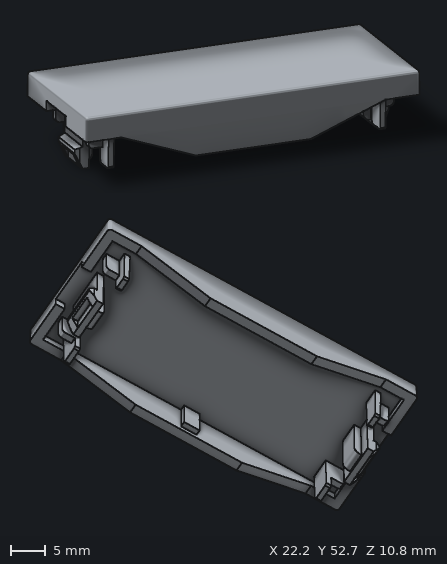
import cadquery as cq

cap_width = 22.15
cap_length = 52.7
cap_height = 3.8
edge_radius = 0.55
wall_draft = 0.8
wall = 1.55
cavity_height = 1.6

skirt_depth = 4.45
skirt_top_half = 20.8
skirt_bottom_half = 9.05

part_bottom = -7.0
arm_width = 6.55
arm_inner_y = 22.4
arm_draft = 0.15
arm_outer_y = 23.55
hook_tip_y = 24.7
hook_root_z = -3.6
hook_tip_top_z = -3.95
hook_tip_bottom_z = -4.6
hook_side_start_y = 24.05
hook_side_inset = 0.25
hook_pocket_width = 4.0
hook_pocket_top_z = -5.0
notch_width = 7.15

buttress_width = 3.15
buttress_inner_y = 21.3
buttress_bottom_z = -6.45
buttress_radius = 1.05

leg_inner_x = 5.6
left_leg_outer_x = 7.9
right_leg_outer_x = 8.7
leg_draft = 0.1
leg_bottom_z = -5.5
leg_corner = 0.3
leg_inner_y = 20.85
leg_outer_y = 21.8

block_width = 1.0
block_outer_y = 24.05
block_bottom_z = -2.8
block_radius = 0.7

rib_inner_x = 8.7
rib_length = 2.65
rib_depth = 3.5


def box_between(x0, x1, y0, y1, z0, z1):
    """Box given by its two limits along each axis."""
    return cq.Workplane("XY").box(x1 - x0, y1 - y0, z1 - z0, centered=False).translate((x0, y0, z0))


def extrude_along_x(points, x0, x1):
    """Closed (y, z) outline extruded from x0 to x1."""
    return cq.Workplane("YZ", origin=(x0, 0, 0)).polyline(points).close().extrude(x1 - x0)


def make_cap():
    """Drafted and rounded cap, open below, with a notch in each end wall."""
    cap = cq.Workplane("XY").rect(cap_width, cap_length).extrude(cap_height, taper=wall_draft)
    cap = cap.edges("not <Z").fillet(edge_radius)
    cavity = cq.Workplane("XY").box(
        cap_width - 2 * wall, cap_length - 2 * wall, cavity_height, centered=(True, True, False)
    )
    notches = cq.Workplane("XY").box(notch_width, cap_length, cavity_height, centered=(True, True, False))
    return cap.cut(cavity).cut(notches)


def make_skirt(x0):
    """Trapezoidal skirt whose -X face is at x0."""
    outline = [
        (-skirt_top_half, 0),
        (-skirt_bottom_half, -skirt_depth),
        (skirt_bottom_half, -skirt_depth),
        (skirt_top_half, 0),
    ]
    return extrude_along_x(outline, x0, x0 + wall)


def make_hook_arm():
    """Arm with an outward hook, narrowed towards its tip and pocketed in the sloping face."""
    half = arm_width / 2
    outline = [
        (arm_inner_y, cavity_height),
        (arm_outer_y, cavity_height),
        (arm_outer_y, hook_root_z),
        (hook_tip_y, hook_tip_top_z),
        (hook_tip_y, hook_tip_bottom_z),
        (arm_outer_y, part_bottom),
        (arm_inner_y + arm_draft, part_bottom),
    ]
    arm = extrude_along_x(outline, -half, half)
    plan = [
        (-half, arm_inner_y),
        (half, arm_inner_y),
        (half, hook_side_start_y),
        (half - hook_side_inset, hook_tip_y),
        (hook_side_inset - half, hook_tip_y),
        (-half, hook_side_start_y),
    ]
    plan_limit = (
        cq.Workplane("XY", origin=(0, 0, part_bottom))
        .polyline(plan).close().extrude(cavity_height - part_bottom)
    )
    pocket = box_between(
        -hook_pocket_width / 2, hook_pocket_width / 2,
        arm_outer_y, hook_tip_y, part_bottom, hook_pocket_top_z,
    )
    return arm.intersect(plan_limit).cut(pocket)


def make_buttress():
    """Stiffening rib behind the arm with a rounded lower corner."""
    rib = box_between(
        -buttress_width / 2, buttress_width / 2,
        buttress_inner_y, arm_inner_y + arm_draft, buttress_bottom_z, cavity_height,
    )
    return rib.edges("|X and <Y and <Z").fillet(buttress_radius)


def make_leg(outer_x):
    """Guide leg on the +X side, thinner towards its foot, with its stop block."""
    front = [
        (leg_inner_x, cavity_height),
        (outer_x + leg_draft, cavity_height),
        (outer_x, leg_bottom_z + leg_corner),
        (outer_x - leg_corner, leg_bottom_z),
        (leg_inner_x + leg_corner, leg_bottom_z),
        (leg_inner_x, leg_bottom_z + leg_corner),
    ]
    leg = (
        cq.Workplane("XZ", origin=(0, leg_inner_y, 0))
        .polyline(front).close().extrude(leg_inner_y - leg_outer_y)
    )
    side = [
        (leg_inner_y, cavity_height),
        (leg_outer_y, cavity_height),
        (leg_outer_y, leg_bottom_z),
        (leg_inner_y + leg_draft, leg_bottom_z),
    ]
    leg = leg.intersect(extrude_along_x(side, leg_inner_x, outer_x + leg_draft))
    block = box_between(
        leg_inner_x, leg_inner_x + block_width,
        leg_outer_y, block_outer_y, block_bottom_z, cavity_height,
    )
    block = block.edges("|X and >Y and <Z").fillet(block_radius)
    return leg.union(block)


def make_end():
    """Everything that hangs below the +Y end of the cap."""
    left_leg = make_leg(left_leg_outer_x).mirror("YZ")
    right_leg = make_leg(right_leg_outer_x)
    return make_hook_arm().union(make_buttress()).union(left_leg).union(right_leg)


half_width = cap_width / 2
end = make_end()
skirt_rib = box_between(
    rib_inner_x, half_width - wall, -rib_length / 2, rib_length / 2, -rib_depth, cavity_height
)

result = make_cap()
for feature in (
    make_skirt(-half_width),
    make_skirt(half_width - wall),
    end,
    end.mirror("XZ"),
    skirt_rib,
):
    result = result.union(feature)